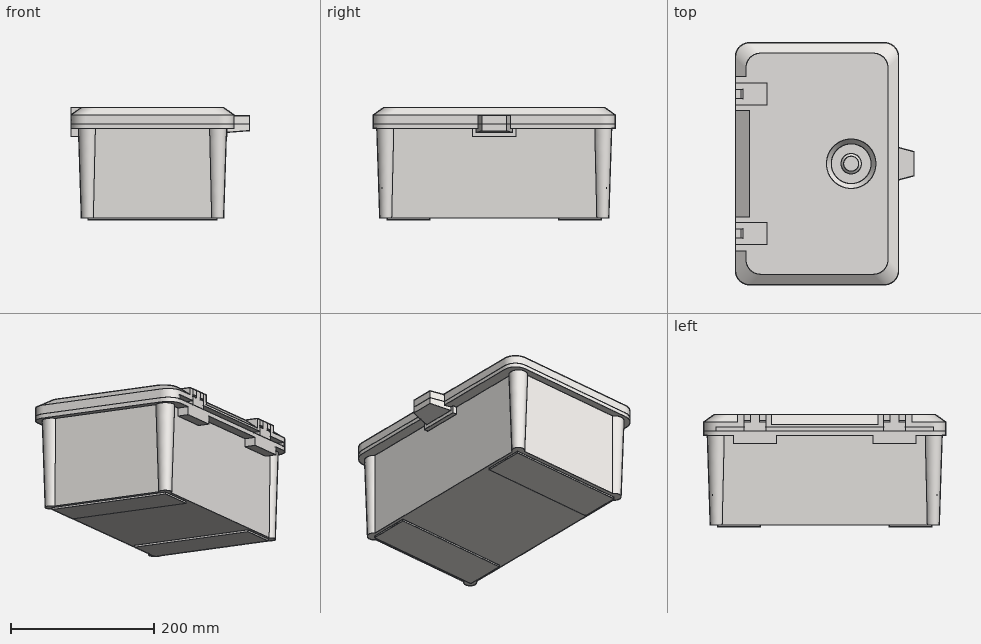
import cadquery as cq

LENGTH_Y = 338.0
WIDTH_X = 227.8
CORNER_RADIUS = 20.3
HALF_X = WIDTH_X / 2
HALF_Y = LENGTH_Y / 2

TOTAL_HEIGHT = 157.0
FOOT_HEIGHT = 2.7
FLANGE_BOTTOM = 127.8
SEAM = 134.0
LID_SHOULDER = 146.5

POST_INSET_X = 23.5
POST_INSET_Y = 18.3
POST_TOP_RADIUS = 13.2
POST_BOTTOM_RADIUS = 9.0
WALL_TOP_OFFSET = 7.8
WALL_BOTTOM_OFFSET = 4.7

FOOT_LENGTH_X = 180.5
FOOT_WIDTH_Y = 59.5
FOOT_INSET_Y = 19.5

BLOCK_WIDTH_Y = 60.0
BLOCK_BOTTOM = 116.3
LATCH_BLOCK_INSET = 9.8

TAB_REACH = 21.5
TAB_EDGE_WIDTH = 45.3
TAB_TIP_WIDTH = 33.8
TAB_TOP = 145.5
TAB_ROOT_BOTTOM = 122.0
TAB_TIP_BOTTOM = 124.5

BEVEL_INSET = 15.0
HINGE_EDGE_LENGTH = 242.7
FINGER_RECESS_LENGTH = 148.7
FINGER_RECESS_DEPTH_X = 19.5
FINGER_RECESS_DEPTH_Z = 14.2

SLOT_LENGTH = 303.0
SLOT_HEIGHT = 5.7
SLOT_DEPTH = 13.5

HINGE_SPACING = 194.7
HINGE_WIDTH = 30.5
HINGE_PLATE_LENGTH = 44.3
HINGE_PLATE_THICKNESS = 8.5
KNUCKLE_WIDTH = 13.0
KNUCKLE_DEPTH = 8.0
HINGE_POCKET_DEPTH = 10.8
HINGE_GAP = 2.5

KNOB_X = 47.5
RECESS_TOP_RADIUS = 34.5
RECESS_FLOOR_RADIUS = 27.7
RECESS_DEPTH = 10.0
KNOB_BASE_RADIUS = 14.2
KNOB_TOP_RADIUS = 10.5
KNOB_HEIGHT = 3.5


def block(x_range, y_center, y_width, z_range):
    """Axis-aligned block that is centred on y_center."""
    x_low, x_high = x_range
    z_low, z_high = z_range
    size = (x_high - x_low, y_width, z_high - z_low)
    return cq.Workplane().box(*size, centered=(False, True, False)).translate((x_low, y_center, z_low))


def rounded_plate(z_low, z_high):
    """Plate with the rounded outline of the enclosure."""
    outline = rounded_rectangle(WIDTH_X, LENGTH_Y)
    return cq.Workplane().placeSketch(outline).extrude(z_high - z_low).translate((0, 0, z_low))


def rounded_rectangle(width, length):
    """Sketch of a rectangle with the corner radius of the enclosure."""
    return cq.Sketch().rect(width, length).vertices().fillet(CORNER_RADIUS)


def lid_bevel():
    """Top of the lid: the outline moves inwards while its corner radius stays the same."""
    base = rounded_rectangle(WIDTH_X, LENGTH_Y)
    top = rounded_rectangle(WIDTH_X - 2 * BEVEL_INSET, LENGTH_Y - 2 * BEVEL_INSET)
    rise = cq.Vector(0, 0, TOTAL_HEIGHT - LID_SHOULDER)
    loft = cq.Workplane().placeSketch(base, top.moved(cq.Location(rise))).loft(ruled=True)
    return loft.translate((0, 0, LID_SHOULDER))


def cone(bottom_radius, top_radius, height, x, y, z):
    """Upright truncated cone whose lower circle is centred on (x, y, z)."""
    return cq.Workplane(cq.Solid.makeCone(bottom_radius, top_radius, height, cq.Vector(x, y, z)))


def latch_tab(z_low, z_high):
    """Latch tab between two heights; towards the tip its sides converge and its underside rises."""
    root_x = HALF_X - LATCH_BLOCK_INSET
    tip_x = HALF_X + TAB_REACH
    taper = (TAB_EDGE_WIDTH - TAB_TIP_WIDTH) / TAB_REACH
    half_root = (TAB_EDGE_WIDTH + taper * LATCH_BLOCK_INSET) / 2
    half_tip = TAB_TIP_WIDTH / 2
    plan = (
        cq.Workplane()
        .polyline([(root_x, -half_root), (tip_x, -half_tip), (tip_x, half_tip), (root_x, half_root)])
        .close()
        .extrude(TOTAL_HEIGHT)
    )
    side = (
        cq.Workplane("XZ")
        .polyline([(root_x, TAB_ROOT_BOTTOM), (tip_x, TAB_TIP_BOTTOM), (tip_x, TAB_TOP), (root_x, TAB_TOP)])
        .close()
        .extrude(HALF_Y, both=True)
    )
    band = block((root_x, tip_x), 0, LENGTH_Y, (z_low, z_high))
    return plan.intersect(side).intersect(band)


def make_box():
    post_x = HALF_X - POST_INSET_X
    post_y = HALF_Y - POST_INSET_Y
    wall_height = FLANGE_BOTTOM - FOOT_HEIGHT
    block_levels = (BLOCK_BOTTOM, FLANGE_BOTTOM)

    box = (
        cq.Workplane()
        .rect(2 * (post_x + WALL_BOTTOM_OFFSET), 2 * (post_y + WALL_BOTTOM_OFFSET))
        .workplane(offset=wall_height)
        .rect(2 * (post_x + WALL_TOP_OFFSET), 2 * (post_y + WALL_TOP_OFFSET))
        .loft(ruled=True)
        .translate((0, 0, FOOT_HEIGHT))
    )
    box = box.union(rounded_plate(FLANGE_BOTTOM, SEAM))

    for x in (-post_x, post_x):
        for y in (-post_y, post_y):
            box = box.union(cone(POST_BOTTOM_RADIUS, POST_TOP_RADIUS, wall_height, x, y, FOOT_HEIGHT))

    for y in (-HINGE_SPACING / 2, HINGE_SPACING / 2):
        box = box.union(block((-HALF_X, -post_x), y, BLOCK_WIDTH_Y, block_levels))

    latch_block_x = HALF_X - LATCH_BLOCK_INSET
    box = box.union(block((post_x, latch_block_x), 0, BLOCK_WIDTH_Y, block_levels))
    box = box.union(latch_tab(TAB_ROOT_BOTTOM, SEAM))

    foot_y = HALF_Y - FOOT_INSET_Y - FOOT_WIDTH_Y / 2
    for y in (-foot_y, foot_y):
        foot = block((-FOOT_LENGTH_X / 2, FOOT_LENGTH_X / 2), y, FOOT_WIDTH_Y, (0, FOOT_HEIGHT))
        box = box.union(foot)
    return box


def make_lid():
    lid = rounded_plate(SEAM, LID_SHOULDER).union(lid_bevel())

    raised_edge = (-HALF_X, -HALF_X + BEVEL_INSET)
    lid = lid.union(block(raised_edge, 0, HINGE_EDGE_LENGTH, (LID_SHOULDER, TOTAL_HEIGHT)))

    recess = (
        cq.Workplane("XZ")
        .polyline(
            [
                (-HALF_X, TOTAL_HEIGHT),
                (-HALF_X + FINGER_RECESS_DEPTH_X, TOTAL_HEIGHT),
                (-HALF_X, TOTAL_HEIGHT - FINGER_RECESS_DEPTH_Z),
            ]
        )
        .close()
        .extrude(FINGER_RECESS_LENGTH / 2, both=True)
    )
    lid = lid.cut(recess)

    lid = lid.cut(block((-HALF_X, -HALF_X + SLOT_DEPTH), 0, SLOT_LENGTH, (SEAM, SEAM + SLOT_HEIGHT)))

    for y in (-HINGE_SPACING / 2, HINGE_SPACING / 2):
        lid = lid.cut(hinge_plate_blank(y))
        lid = lid.cut(block((-HALF_X, -HALF_X + HINGE_POCKET_DEPTH), y, HINGE_WIDTH, (SEAM, TOTAL_HEIGHT)))

    recess_floor = TOTAL_HEIGHT - RECESS_DEPTH
    lid = lid.cut(cone(RECESS_FLOOR_RADIUS, RECESS_TOP_RADIUS, RECESS_DEPTH, KNOB_X, 0, recess_floor))

    return lid.union(latch_tab(SEAM, TAB_TOP))


def hinge_plate_blank(y):
    """Full rectangle of the upper hinge leaf, flush with the lid top."""
    levels = (TOTAL_HEIGHT - HINGE_PLATE_THICKNESS, TOTAL_HEIGHT)
    return block((-HALF_X, -HALF_X + HINGE_PLATE_LENGTH), y, HINGE_WIDTH, levels)


def make_upper_leaf(y):
    """Plate with a notch at its outer end for the knuckle of the lower leaf."""
    notch = block((-HALF_X, -HALF_X + HINGE_POCKET_DEPTH), y, KNUCKLE_WIDTH, (SEAM, TOTAL_HEIGHT))
    return hinge_plate_blank(y).cut(notch)


def make_lower_leaf(y):
    """Block on the flange with a central knuckle that rises to the lid top."""
    shoulder = TOTAL_HEIGHT - HINGE_PLATE_THICKNESS - HINGE_GAP
    leaf = block((-HALF_X, -HALF_X + HINGE_POCKET_DEPTH), y, HINGE_WIDTH, (SEAM, shoulder))
    knuckle = block((-HALF_X, -HALF_X + KNUCKLE_DEPTH), y, KNUCKLE_WIDTH, (shoulder, TOTAL_HEIGHT))
    return leaf.union(knuckle)


def make_knob():
    return cone(KNOB_BASE_RADIUS, KNOB_TOP_RADIUS, KNOB_HEIGHT, KNOB_X, 0, TOTAL_HEIGHT - RECESS_DEPTH)


box = make_box().solids()
lid = make_lid().solids()
knob = make_knob()
hinge_leaves = []
for hinge_y in (-HINGE_SPACING / 2, HINGE_SPACING / 2):
    hinge_leaves.append(make_upper_leaf(hinge_y).solids().val())
    hinge_leaves.append(make_lower_leaf(hinge_y).solids().val())

result = cq.Compound.makeCompound([box.val(), lid.val(), knob.val(), *hinge_leaves])